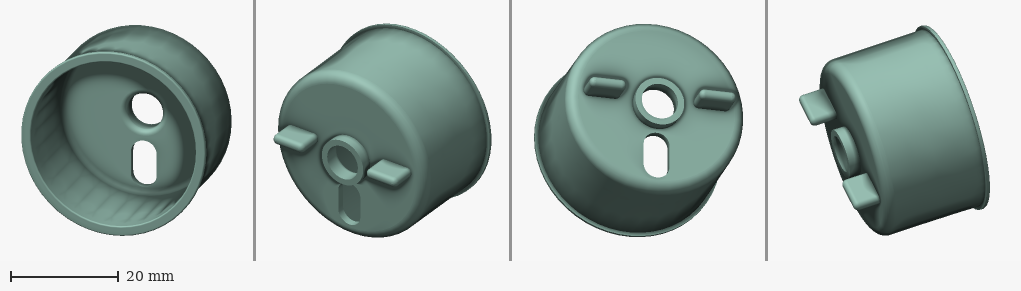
import cadquery as cq

rim_radius = 17.9
rim_thickness = 0.75
rim_edge_radius = 0.3
mouth_outer_radius = 17.22
end_outer_radius = 17.1
cup_length = 20.5
wall = 1.2
floor_thickness = 1.5
outer_corner = 2.0
inner_corner = 1.07

boss_radius = 4.7
boss_height = 2.2
bore_radius = boss_radius - wall
bore_entry_radius = 1.07

slot_length = 9.02
slot_width = 5.0
slot_offset = 10.0

total_length = 25.5
tab_width = 7.02
tab_thickness = 2.0
tab_spacing = 21.13
tab_height_offset = 1.45
tab_edge_radius = 0.95
tab_tip_radius = 0.93

floor_y = cup_length - floor_thickness
embed = wall / 2


def cylinder(radius, start, end):
    """Cylinder on the cup axis between two Y positions."""
    return cq.Workplane("XZ", origin=(0, start, 0)).circle(radius).extrude(start - end)


def tapered_plug(mouth_radius, end_radius, length, corner):
    """Tapered solid from the mouth to a rounded closed end."""
    profile = [(0, 0), (mouth_radius, 0), (end_radius, length), (0, length)]
    plug = cq.Workplane("XY").polyline(profile).close().revolve(360, (0, 0, 0), (0, 1, 0))
    return plug.faces(">Y").edges().fillet(corner)


def make_cup():
    """Flanged cup with the bored boss on its closed end."""
    outside = tapered_plug(mouth_outer_radius, end_outer_radius, cup_length, outer_corner)
    rim = cylinder(rim_radius, 0, rim_thickness).faces("<Y").edges().fillet(rim_edge_radius)
    cavity = tapered_plug(mouth_outer_radius - wall, end_outer_radius - wall, floor_y, inner_corner)
    boss_end = cup_length + boss_height
    boss = cylinder(boss_radius, floor_y, boss_end)
    bore = cylinder(bore_radius, 0, boss_end)
    cup = outside.union(rim).cut(cavity)
    mouth_edge = cq.selectors.RadiusNthSelector(0)
    cup = cup.faces("<Y").edges(mouth_edge).fillet(rim_edge_radius)
    cup = cup.union(boss).cut(bore)
    bore_entry = cq.selectors.BoxSelector(
        (-boss_radius, floor_y - embed, -boss_radius),
        (boss_radius, floor_y + embed, boss_radius),
        boundingbox=True,
    )
    return cup.edges(bore_entry).fillet(bore_entry_radius)


def make_slot():
    """Cutter for the slot on the -Z side of the bore."""
    return (
        cq.Workplane("XZ", origin=(0, floor_y - embed, 0))
        .center(0, -slot_offset)
        .slot2D(slot_length, slot_width, 90)
        .extrude(-floor_thickness - 2 * embed)
    )


def make_tab(x):
    """Tab with rounded sides and a rounded tip."""
    start = cup_length - embed
    return (
        cq.Workplane("XZ", origin=(x, start, tab_height_offset))
        .rect(tab_width, tab_thickness)
        .extrude(start - total_length)
        .edges("|Y")
        .fillet(tab_edge_radius)
        .faces(">Y")
        .edges()
        .fillet(tab_tip_radius)
    )


result = make_cup().cut(make_slot())
for side in (-1, 1):
    result = result.union(make_tab(side * tab_spacing / 2))